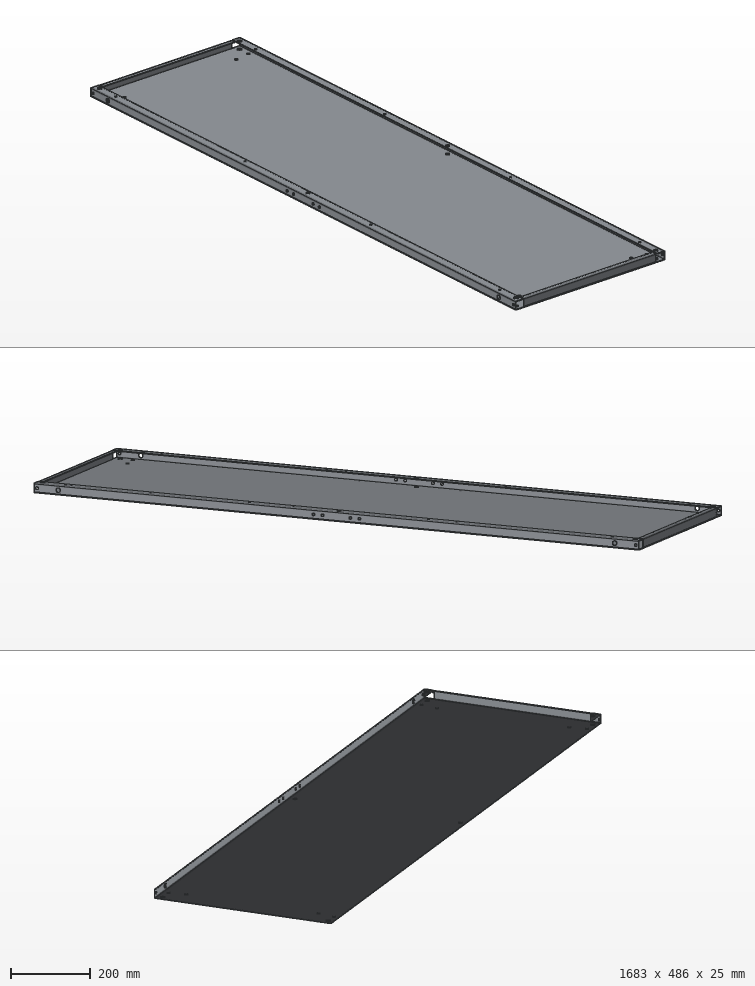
import cadquery as cq

length = 1683.0
width = 486.0
height = 25.0

sheet = 2.5
bend_radius = 2.7
long_lip = 25.0
end_lip = 13.0
end_wall_width = 430.0
end_wall_overhang = 0.3
long_wall_length = length - 2 * end_wall_overhang

corner_hole = 12.0
corner_hole_x = 825.0

middle_hole = 10.0

lip_hole = 5.9
lip_hole_xs = (249.0, 760.0)

edge_hole_y = 227.0

floor_hole = 8.0
open_floor_hole_x = 783.0
open_floor_hole_y = 182.0
covered_floor_hole_x = 790.0

wall_hole = 12.0
wall_hole_x = 775.0
small_wall_hole = 7.0
small_wall_hole_xs = (39.0, 64.0, 833.0)


def folded_channel(span, lip, run):
    """Floor, two walls and two inward lips: folded across X and extruded along Y."""
    outside = cq.Workplane("XY").box(span, run, height).edges("|Y").fillet(bend_radius)
    inside = cq.Workplane("XY").box(span - 2 * sheet, run, height - 2 * sheet)
    opening = cq.Workplane("XY").rect(span - 2 * lip, run).extrude(height)
    return outside.cut(inside).cut(opening)


def mirrored(x_distances, y_distances):
    """Points at plus and minus every given distance."""
    xs = [side * x for x in x_distances for side in (-1, 1)]
    ys = [side * y for y in y_distances for side in (-1, 1)]
    return [(x, y) for x in xs for y in ys]


def upright_pins(diameter, points, bottom=-height, top=height):
    """Pins along Z; from or to height 0 they meet only the lips or only the floor."""
    base = cq.Workplane("XY", origin=(0, 0, bottom))
    return base.pushPoints(points).circle(diameter / 2).extrude(top - bottom)


def cross_pins(diameter, x_distances):
    """Pins along Y, at half height, through the front and back walls."""
    points = [(side * x, 0) for x in x_distances for side in (-1, 1)]
    return cq.Workplane("XZ").pushPoints(points).circle(diameter / 2).extrude(width, both=True)


end_channel = folded_channel(length, end_lip, end_wall_width)
long_channel = folded_channel(width, long_lip, long_wall_length).rotate((0, 0, 0), (0, 0, 1), 90)
tray = long_channel.union(end_channel)

tray = tray.cut(upright_pins(corner_hole, mirrored([corner_hole_x], [edge_hole_y])))
tray = tray.cut(upright_pins(middle_hole, [(0, -edge_hole_y), (0, edge_hole_y)]))

tray = tray.cut(upright_pins(lip_hole, mirrored(lip_hole_xs, [edge_hole_y]), bottom=0))

floor_points = mirrored([open_floor_hole_x], [open_floor_hole_y])
floor_points += mirrored([covered_floor_hole_x], [edge_hole_y])
tray = tray.cut(upright_pins(floor_hole, floor_points, top=0))

tray = tray.cut(cross_pins(wall_hole, [wall_hole_x]))
tray = tray.cut(cross_pins(small_wall_hole, small_wall_hole_xs))

result = tray